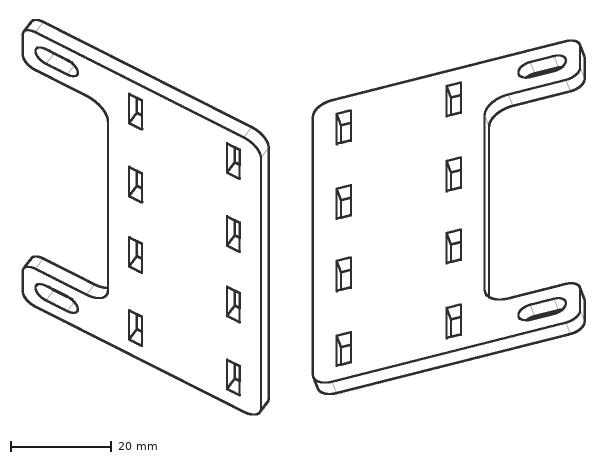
import cadquery as cq

height = 94.0
width = 56.0
thickness = 3.0
outer_radius = 4.0

ear_height = 13.0
ear_length = 20.0
ear_radius = 3.0
recess_radius = 5.0
selection_margin = 0.9

mount_slot_length = 10.0
mount_slot_height = 5.0
mount_slot_from_edge = 8.0
mount_slot_from_end = 6.5

strap_slot_width = 3.0
strap_slot_height = 10.0
strap_column_offsets = (26.5, 49.5)
strap_row_offsets = (12.0, 37.0)

left = -width / 2
right = width / 2
top = height / 2
recess_left = left + ear_length
recess_top = top - ear_height


def make_plate():
    """C-shaped plate centred on the origin, with all corners rounded."""
    outline = [
        (left, -top),
        (right, -top),
        (right, top),
        (left, top),
        (left, recess_top),
        (recess_left, recess_top),
        (recess_left, -recess_top),
        (left, -recess_top),
    ]
    plate = (
        cq.Workplane("XZ")
        .polyline(outline)
        .close()
        .extrude(thickness / 2, both=True)
    )
    plate = plate.edges("|Y").edges(">X").fillet(outer_radius)
    plate = plate.edges("|Y").edges("<X").fillet(ear_radius)
    recess_corners = cq.selectors.BoxSelector(
        (recess_left - selection_margin, -thickness, -recess_top - selection_margin),
        (recess_left + selection_margin, thickness, recess_top + selection_margin),
    )
    return plate.edges("|Y").edges(recess_corners).fillet(recess_radius)


def make_mount_slots():
    x = left + mount_slot_from_edge
    z = top - mount_slot_from_end
    return (
        cq.Workplane("XZ")
        .pushPoints([(x, z), (x, -z)])
        .slot2D(mount_slot_length, mount_slot_height)
        .extrude(thickness, both=True)
    )


def make_strap_slots():
    centers = [
        (left + column, side * row)
        for column in strap_column_offsets
        for row in strap_row_offsets
        for side in (-1, 1)
    ]
    return (
        cq.Workplane("XZ")
        .pushPoints(centers)
        .rect(strap_slot_width, strap_slot_height)
        .extrude(thickness, both=True)
    )


result = make_plate().cut(make_mount_slots()).cut(make_strap_slots())